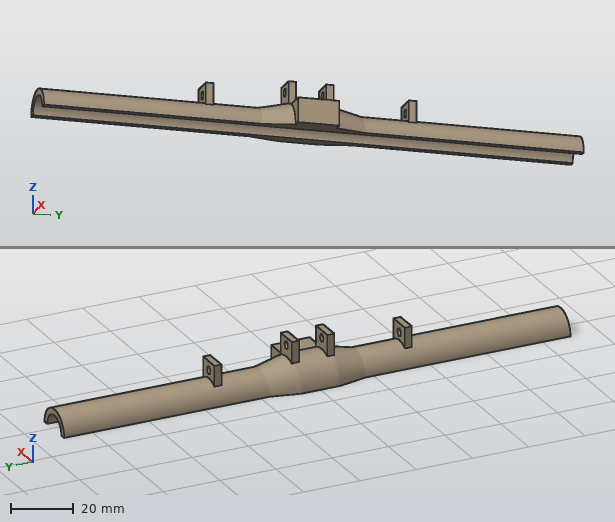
import cadquery as cq

pipe_length = 180.0
pipe_radius = 7.2
bore_radius = 5.0

bulge_radius = 9.5
bulge_half_length = 6.8
cone_end = 17.1

total_width = 22.0
block_reach = total_width - bulge_radius
block_height = 8.3

tab_width = 8.3
tab_thickness = 2.5
tab_hole_diameter = 2.5
inner_tab_offset = 6.3
inner_tab_top = 16.0
inner_tab_hole_height = 13.3
outer_tab_offset = 33.8
outer_tab_top = 13.1
outer_tab_hole_height = 9.9


def make_envelope():
    """Upper half of the pipe and side block, before the bore is cut."""
    half_length = pipe_length / 2
    half_pipe = (
        cq.Workplane("XY")
        .moveTo(0, -half_length)
        .lineTo(pipe_radius, -half_length)
        .lineTo(pipe_radius, -cone_end)
        .lineTo(bulge_radius, -bulge_half_length)
        .lineTo(bulge_radius, bulge_half_length)
        .lineTo(pipe_radius, cone_end)
        .lineTo(pipe_radius, half_length)
        .lineTo(0, half_length)
        .close()
        .revolve(180, (0, 0, 0), (0, -1, 0))
    )
    block = cq.Workplane("XY").box(
        block_reach, 2 * bulge_half_length, block_height, centered=(False, True, False)
    )
    return half_pipe.union(block)


def make_bore():
    """Straight bore through the whole pipe."""
    return cq.Workplane("XZ").circle(bore_radius).extrude(pipe_length / 2, both=True)


def make_tab(y_center, top, hole_height, envelope):
    """Upright drilled tab whose foot follows the outside of the pipe."""
    plate = cq.Workplane("XY").box(tab_width, tab_thickness, top, centered=(True, True, False))
    hole = (
        cq.Workplane("XZ")
        .center(0, hole_height)
        .circle(tab_hole_diameter / 2)
        .extrude(tab_thickness, both=True)
    )
    return plate.cut(hole).translate((0, y_center, 0)).cut(envelope)


envelope = make_envelope()
half_shell = envelope.cut(make_bore())

tabs = []
for side in (-1, 1):
    tabs.append(make_tab(side * inner_tab_offset, inner_tab_top, inner_tab_hole_height, envelope))
    tabs.append(make_tab(side * outer_tab_offset, outer_tab_top, outer_tab_hole_height, envelope))

result = cq.Compound.makeCompound([half_shell.solids().val(), *[tab.solids().val() for tab in tabs]])